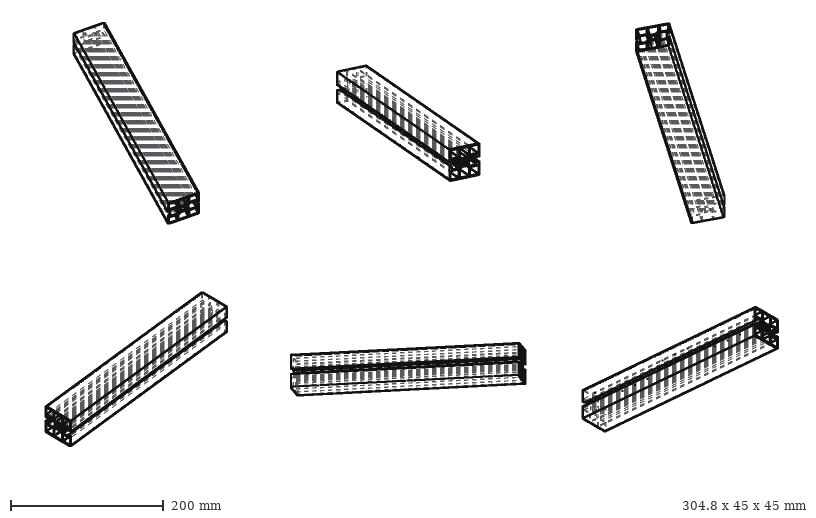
import cadquery as cq
import math

length = 304.8
side = 45.0
corner_radius = 2.7

skin = 1.8
web = 1.8

slot_mouth = 7.5
lip_radius = 0.5
lip_depth = 4.3
slot_width = 13.7
slot_floor = 7.0
slot_bevel_depth = 1.5
slot_bevel_height = 2.7
groove_width = 1.8
groove_depth = 1.0

centre_cell_width = 13.7
centre_cell_floor = 6.0
centre_cell_bevel = 3.0

bore_side = 6.7
bore_relief_radius = 0.75

half_side = side / 2
half_slot = slot_width / 2
half_mouth = slot_mouth / 2
half_centre_cell = centre_cell_width / 2
lip_inside = half_side - lip_depth
cell_top = half_side - skin
corner_cell_inside = half_centre_cell + web
corner_cell_bottom = half_slot + web


def section():
    """Sketch plane across the profile at its -X end: local x is Y, local y is Z."""
    return cq.Workplane("YZ", origin=(-length / 2, 0, 0))


def outer_bar():
    return section().rect(side, side).extrude(length).edges("|X").fillet(corner_radius)


def corner_cells():
    """Four plain rectangular cells, one in each corner of the profile."""
    y_spacing = cell_top + corner_cell_inside
    z_spacing = cell_top + corner_cell_bottom
    cell_width = cell_top - corner_cell_inside
    cell_height = cell_top - corner_cell_bottom
    return (
        section()
        .rect(y_spacing, z_spacing, forConstruction=True)
        .vertices()
        .rect(cell_width, cell_height)
        .extrude(length)
    )


def upper_centre_cell():
    """Cell between the upper corner cells, bevelled towards the core."""
    half_floor = half_centre_cell - centre_cell_bevel
    bevel_top = centre_cell_floor + centre_cell_bevel
    outline = [
        (-half_centre_cell, cell_top),
        (-half_centre_cell, bevel_top),
        (-half_floor, centre_cell_floor),
        (half_floor, centre_cell_floor),
        (half_centre_cell, bevel_top),
        (half_centre_cell, cell_top),
    ]
    return section().polyline(outline).close().extrude(length)


def right_slot():
    """T-slot opening on the +Y face, with a rounded mouth and a V groove along its floor."""
    groove_bottom = slot_floor - groove_depth
    arc_sag = lip_radius * (1 - math.sqrt(0.5))
    upper_half = (
        section()
        .moveTo(groove_bottom, 0)
        .lineTo(slot_floor, groove_width / 2)
        .lineTo(slot_floor, half_slot - slot_bevel_height)
        .lineTo(slot_floor + slot_bevel_depth, half_slot)
        .lineTo(lip_inside, half_slot)
        .lineTo(lip_inside, half_mouth)
        .lineTo(half_side - lip_radius, half_mouth)
        .threePointArc(
            (half_side - arc_sag, half_mouth + arc_sag),
            (half_side, half_mouth + lip_radius),
        )
        .lineTo(half_side, 0)
        .close()
        .extrude(length)
    )
    return upper_half.union(upper_half.mirror("XY"))


def core_bore():
    """Square bore on the profile axis with a round relief in each corner."""
    square = section().rect(bore_side, bore_side).extrude(length)
    reliefs = (
        section()
        .rect(bore_side, bore_side, forConstruction=True)
        .vertices()
        .circle(bore_relief_radius)
        .extrude(length)
    )
    return square.union(reliefs)


result = outer_bar().cut(corner_cells()).cut(core_bore())

for cell in (upper_centre_cell(), upper_centre_cell().mirror("XY")):
    result = result.cut(cell)

for slot in (right_slot(), right_slot().mirror("XZ")):
    result = result.cut(slot)